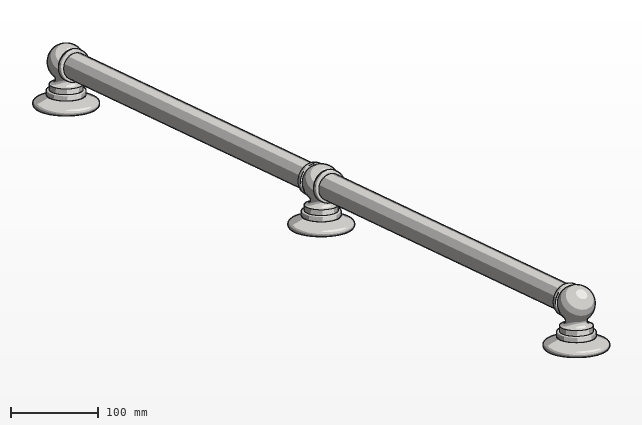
import cadquery as cq
import math

total_length = 1143.0
base_diameter = 77.0
total_height = 75.0
base_radius = base_diameter / 2
post_pitch = (total_length - base_diameter) / 2

rail_radius = 16.0
ball_radius = 22.0
axis_height = total_height - ball_radius
collar_radius = 20.0
collar_start = 13.0
collar_end = 20.0
ball_cut_radius = math.sqrt(ball_radius**2 - collar_start**2)
edge_rounding = 1.0

rim_rounding = 4.0
rim_center_radius = base_radius - rim_rounding

hub_radius = 23.0
hub_bottom = 14.0
hub_top = 21.0
shoulder_radius = 20.0
shoulder_top = 27.0
neck_foot_radius = 18.0
neck_waist_radius = 13.0
neck_waist_height = 32.0
neck_top_radius = 15.0
neck_top = axis_height - math.sqrt(ball_radius**2 - neck_top_radius**2)


def make_disc(plane, start, end, radius):
    """Disc between two positions along the plane's normal, with rounded edges."""
    return (
        cq.Workplane(plane)
        .workplane(offset=start)
        .circle(radius)
        .extrude(end - start)
        .edges()
        .fillet(edge_rounding)
    )


def rim_point(angle):
    """Point on the half-round rim, with the angle measured up from horizontal."""
    return (
        rim_center_radius + rim_rounding * math.cos(angle),
        rim_rounding + rim_rounding * math.sin(angle),
    )


def make_post():
    """Turned post: conical flange, rounded hub, shoulder and waisted neck."""
    cone_top_radius = hub_radius - edge_rounding
    cone_run = cone_top_radius - rim_center_radius
    cone_rise = hub_bottom - rim_rounding
    reach = math.hypot(cone_run, cone_rise)
    cone_angle = math.atan2(cone_rise, cone_run) - math.acos(rim_rounding / reach)
    turned = (
        cq.Workplane("XZ")
        .moveTo(0, 0)
        .lineTo(rim_center_radius, 0)
        .threePointArc(rim_point(0), rim_point(cone_angle))
        .lineTo(cone_top_radius, hub_bottom)
        .lineTo(shoulder_radius, hub_bottom)
        .lineTo(shoulder_radius, shoulder_top)
        .lineTo(neck_foot_radius, shoulder_top)
        .threePointArc((neck_waist_radius, neck_waist_height), (neck_top_radius, neck_top))
        .lineTo(neck_top_radius, axis_height)
        .lineTo(0, axis_height)
        .close()
        .revolve(360, (0, 0, 0), (0, 1, 0))
    )
    return turned.union(make_disc("XY", hub_bottom, hub_top, hub_radius))


def turn_about_rail(outline):
    """Close an outline along the rail axis and turn it into a solid."""
    return outline.close().revolve(360, (0, 0, 0), (1, 0, 0))


def make_ball():
    """Ball cut flat on both sides where the collars start."""
    return turn_about_rail(
        cq.Workplane("XY")
        .moveTo(-collar_start, 0)
        .lineTo(-collar_start, ball_cut_radius)
        .threePointArc((0, ball_radius), (collar_start, ball_cut_radius))
        .lineTo(collar_start, 0)
    )


def make_domed_ball():
    """Ball left round on the -X side and cut flat on the +X side."""
    return turn_about_rail(
        cq.Workplane("XY")
        .moveTo(-ball_radius, 0)
        .threePointArc((0, ball_radius), (collar_start, ball_cut_radius))
        .lineTo(collar_start, 0)
    )


def make_support(fitting):
    """Flanged post carrying a ball fitting at the rail axis."""
    return make_post().union(fitting.translate((0, 0, axis_height)))


collar = make_disc("YZ", collar_start, collar_end, collar_radius)
middle_support = make_support(make_ball().union(collar).union(collar.mirror("YZ")))
left_support = make_support(make_domed_ball().union(collar)).translate((-post_pitch, 0, 0))
right_support = left_support.mirror("YZ")

rail = (
    cq.Workplane("YZ", origin=(-post_pitch, 0, axis_height))
    .circle(rail_radius)
    .extrude(2 * post_pitch)
)

result = middle_support.union(left_support).union(right_support).union(rail)